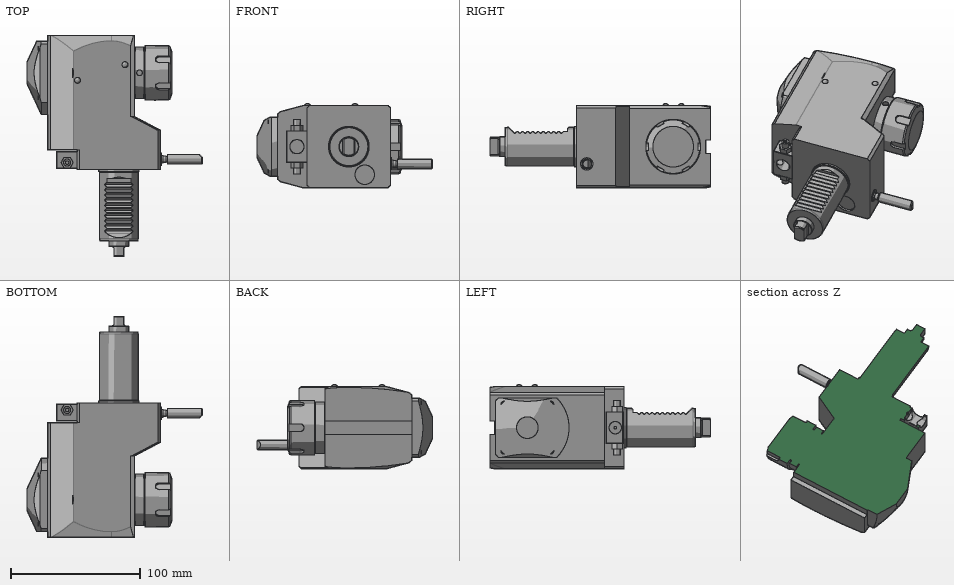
import cadquery as cq
import math


HALF_HEIGHT = 32.0
HEAD_LEFT = -55.0
HEAD_RIGHT = 12.1
HEAD_FRONT = 15.2
HEAD_BACK = 104.0
HEAD_LEFT_EDGE = (2.2, 1.9)
HEAD_RIGHT_EDGE = (3.0, 2.4)
SLOPE_START = -35.0
SLOPE_ANGLE = 15
BLOCK_HALF_WIDTH = 32.3
BLOCK_EDGE = 2.0
SHOULDER_EDGE = 1.0
SHOULDER_OUTER_Y = 30.5
SHOULDER_INNER_Y = 41
CROWN_TILT = 10.8
CROWN_X = -5.8
CROWN_Y = 99.7
CROWN_LEFT_RADIUS = 290.7
CROWN_RIGHT_RADIUS = 153.9
BACK_SLOT_WIDTH = 10.3
BACK_SLOT_DEPTH = 3.8
PLUG_X = 12.3
PLUG_Z = -21.7
PLUG_RADIUS = 7.5
PLUG_DEPTH = 1.7

SPINDLE_Y = 74.9
COVER_END = -71.1
COVER_RIM = -60.0
COVER_RADIUS = 32.3
COVER_TIP_RADIUS = 8.4
COVER_HALF_HEIGHT = 22.9
COVER_BACK_REACH = 24.6
COVER_CORNER = 2.2
FACET_OUTER_X = -61.0
FACET_INNER_X = -65
FACET_INNER_Z = 20.7
COVER_SCREW_OFFSET = 18.0
COVER_SCREW_RADIUS = 2.5
COVER_SCREW_END = -62.5
REGISTER_RADIUS = 32.0
REGISTER_END = -35.7
REGISTER_WIDTH = 20.5

NECK_RADIUS = 16.8
COLLAR_START = 12.7
COLLAR_END = 19.3
COLLAR_RADIUS = 20.0
COLLAR_HOLE_RADIUS = 2.2
COLLAR_HOLE_DEPTH = 3.5
NUT_START = 20.3
NUT_SHOULDER = 38.3
NUT_BEVEL_END = 39.5
NUT_END = 41.2
NUT_RADIUS = 21.2
NUT_BEVEL_RADIUS = 20.7
NUT_TIP_RADIUS = 15.7
NUT_SLOTS = 6
NUT_SLOT_START = 28.4
NUT_SLOT_WIDTH = 6.0
NUT_SLOT_FLOOR = 19.2

SHANK_RADIUS = 15.0
SHANK_END = -55.0
SHANK_LEAD_DEPTH = 0.3
SHANK_LEAD_START = -53.4
SHANK_FULL_START = -2.2
FLANGE_RADIUS = 15.7
FLANGE_LENGTH = 1.5
PILOT_RADIUS = 7.7
PILOT_END = -59.5
TANG_END = -67.0
TANG_THICKNESS = 7.9
TANG_EDGE = 0.7
TANG_ROOT = 1.0
PILOT_EDGE = 0.3
TOOTH_COUNT = 10
TOOTH_PITCH = 4.0
TOOTH_HALF_WIDTH = 1.7
TOOTH_CREST_Z = 11.8
TOOTH_ROOT_Z = 10.3
FIRST_ROOT_Y = -11.6
FLAT_TOP_Y = -5.8
FLAT_START_Y = -7.0
FLAT_WALL_Z = 14.0

COOLANT_LEFT = -48.2
COOLANT_FRONT = 0.9
COOLANT_BACK = 14.0
COOLANT_HALF_HEIGHT = 12.3
COOLANT_EDGE = 0.3
PORT_X = -40.2
PORT_RADIUS = 5.5
PORT_DEPTH = 12.3
SIDE_PORT_Y = 6.8
SIDE_PORT_RADIUS = 4.8
SIDE_PORT_DEPTH = 14.0
SIDE_SOCKET_RADIUS = 1.0
SIDE_SOCKET_DEPTH = 0.9
BOLT_X = -40.0
BOLT_Y = 5.5
BOLT_RADIUS = 2.7
BOLT_END_Z = 21.2
BOLT_SOCKET_RADIUS = 1.4
BOLT_SOCKET_DEPTH = 1.4
HEX_ACROSS_CORNERS = 9.4
HEX_END_Z = 16.5

HANDLE_Y = 8.0
HANDLE_Z = -13.3
HANDLE_RADIUS = 3.8
HANDLE_START = 37.6
HANDLE_END = 64.8
HANDLE_EDGE = 0.9
HANDLE_BEVEL = 2.7
HANDLE_STEPS = [(32.8, 4.8), (34.0, 3.0), (36.6, 2.5), (HANDLE_START, 2.2)]

TOP_SCREWS = [(4.8, 81.2), (-32.0, 69.0)]
TOP_SCREW_RADIUS = 2.3
TOP_SCREW_HEIGHT = 1.4

OVERLAP = 1.7
BIG = 171


def cylinder(start, direction, radius, length):
    return cq.Workplane(cq.Solid.makeCylinder(radius, length, cq.Vector(*start), cq.Vector(*direction)))


def both_sides(shape):
    """The shape together with its mirror image across Z = 0."""
    return shape.union(shape.mirror("XY"))


def make_head():
    left_dx, left_dz = HEAD_LEFT_EDGE
    right_dx, right_dz = HEAD_RIGHT_EDGE
    slope_x = HEAD_LEFT + left_dx
    slope_z = HALF_HEIGHT - (SLOPE_START - slope_x) * math.tan(math.radians(SLOPE_ANGLE))
    upper = [
        (HEAD_LEFT, slope_z - left_dz),
        (slope_x, slope_z),
        (SLOPE_START, HALF_HEIGHT),
        (HEAD_RIGHT - right_dx, HALF_HEIGHT),
        (HEAD_RIGHT, HALF_HEIGHT - right_dz),
    ]
    lower = [(x, -z) for x, z in reversed(upper)]
    head = (
        cq.Workplane("XZ", origin=(0, HEAD_FRONT, 0))
        .polyline(upper + lower)
        .close()
        .extrude(HEAD_FRONT - HEAD_BACK)
    )
    back_slot = cq.Workplane("XY").box(BIG, 2 * BACK_SLOT_DEPTH, BACK_SLOT_WIDTH)
    return head.cut(both_sides(make_crown_cutter())).cut(back_slot.translate((0, HEAD_BACK, 0)))


def make_crown_cutter():
    """Removes the upper back edge along a tilted surface that curves away on both sides of its crest."""
    reach = BIG / 2
    left_drop = CROWN_LEFT_RADIUS - math.sqrt(CROWN_LEFT_RADIUS**2 - reach**2)
    right_drop = CROWN_RIGHT_RADIUS - math.sqrt(CROWN_RIGHT_RADIUS**2 - reach**2)
    cutter = (
        cq.Workplane("XZ")
        .moveTo(-reach, -left_drop)
        .radiusArc((0, 0), CROWN_LEFT_RADIUS)
        .radiusArc((reach, -right_drop), CROWN_RIGHT_RADIUS)
        .lineTo(reach, reach)
        .lineTo(-reach, reach)
        .close()
        .extrude(reach, both=True)
    )
    tilted = cutter.rotate((0, 0, 0), (1, 0, 0), -CROWN_TILT)
    return tilted.translate((CROWN_X, CROWN_Y, HALF_HEIGHT))


def make_block():
    """The lower body behind the shank, with a sloping shoulder beside the head."""
    block = (
        cq.Workplane("XY", origin=(0, 0, -HALF_HEIGHT))
        .moveTo(-BLOCK_HALF_WIDTH, 0)
        .lineTo(BLOCK_HALF_WIDTH, 0)
        .lineTo(BLOCK_HALF_WIDTH, SHOULDER_OUTER_Y)
        .lineTo(HEAD_RIGHT, SHOULDER_INNER_Y)
        .lineTo(-BLOCK_HALF_WIDTH, SHOULDER_INNER_Y)
        .close()
        .extrude(2 * HALF_HEIGHT)
    )
    block = block.faces("<X or >X").edges("|Y").chamfer(BLOCK_EDGE)
    rise = SHOULDER_INNER_Y - SHOULDER_OUTER_Y
    run = BLOCK_HALF_WIDTH - HEAD_RIGHT
    length = math.hypot(rise, run)
    bevel = cq.Workplane("XY").box(BIG, SHOULDER_EDGE * math.sqrt(2), SHOULDER_EDGE * math.sqrt(2))
    bevel = bevel.rotate((0, 0, 0), (1, 0, 0), 45)
    bevel = bevel.rotate((0, 0, 0), (0, 0, 1), -math.degrees(math.asin(rise / length)))
    bevel = bevel.translate((HEAD_RIGHT, SHOULDER_INNER_Y, HALF_HEIGHT))
    plug_seat = cylinder((PLUG_X, 0, PLUG_Z), (0, 1, 0), PLUG_RADIUS, PLUG_DEPTH)
    return block.cut(both_sides(bevel)).cut(plug_seat)


def make_cover():
    """Conical cover, trimmed flat on three sides, with a facet along its top and bottom."""
    cover = (
        cq.Workplane("XY")
        .moveTo(COVER_END, 0)
        .lineTo(COVER_END, COVER_TIP_RADIUS)
        .lineTo(COVER_RIM, COVER_RADIUS)
        .lineTo(HEAD_LEFT + OVERLAP, COVER_RADIUS)
        .lineTo(HEAD_LEFT + OVERLAP, 0)
        .close()
        .revolve(360, (0, 0, 0), (1, 0, 0))
    )
    outline = (
        cq.Workplane("YZ", origin=(COVER_END, 0, 0))
        .center((COVER_BACK_REACH - COVER_RADIUS) / 2, 0)
        .rect(COVER_BACK_REACH + COVER_RADIUS, 2 * COVER_HALF_HEIGHT)
        .extrude(HEAD_LEFT + OVERLAP - COVER_END)
        .faces(">Y")
        .edges("|X")
        .chamfer(COVER_CORNER)
    )
    facet_slope = (COVER_HALF_HEIGHT - FACET_INNER_Z) / (FACET_OUTER_X - FACET_INNER_X)
    end_z = COVER_HALF_HEIGHT - facet_slope * (FACET_OUTER_X - COVER_END)
    facet = (
        cq.Workplane("XZ")
        .moveTo(FACET_OUTER_X, COVER_HALF_HEIGHT)
        .lineTo(COVER_END, end_z)
        .lineTo(COVER_END, COVER_HALF_HEIGHT)
        .close()
        .extrude(BIG, both=True)
    )
    cover = cover.intersect(outline).cut(both_sides(facet))
    for y in (-COVER_SCREW_OFFSET, COVER_SCREW_OFFSET):
        for z in (-COVER_SCREW_OFFSET, COVER_SCREW_OFFSET):
            length = HEAD_LEFT - COVER_SCREW_END
            cover = cover.union(cylinder((COVER_SCREW_END, y, z), (1, 0, 0), COVER_SCREW_RADIUS, length))
    return cover.translate((0, SPINDLE_Y, 0))


def make_register():
    """Rounded pad that just breaks through the sloping faces of the head."""
    seat = cylinder((REGISTER_END, 0, 0), (1, 0, 0), REGISTER_RADIUS, -REGISTER_END)
    return seat.intersect(cq.Workplane("XY").box(BIG, REGISTER_WIDTH, BIG)).translate((0, SPINDLE_Y, 0))


def make_nut():
    nut = (
        cq.Workplane("XY")
        .moveTo(HEAD_RIGHT - OVERLAP, 0)
        .lineTo(HEAD_RIGHT - OVERLAP, NECK_RADIUS)
        .lineTo(COLLAR_START, NECK_RADIUS)
        .lineTo(COLLAR_START, COLLAR_RADIUS)
        .lineTo(COLLAR_END, COLLAR_RADIUS)
        .lineTo(COLLAR_END, NECK_RADIUS)
        .lineTo(NUT_START, NECK_RADIUS)
        .lineTo(NUT_START, NUT_RADIUS)
        .lineTo(NUT_SHOULDER, NUT_RADIUS)
        .lineTo(NUT_BEVEL_END, NUT_BEVEL_RADIUS)
        .lineTo(NUT_END, NUT_TIP_RADIUS)
        .lineTo(NUT_END, 0)
        .close()
        .revolve(360, (0, 0, 0), (1, 0, 0))
    )
    slot = (
        cq.Workplane("XY", origin=(0, 0, NUT_SLOT_FLOOR))
        .moveTo(BIG, NUT_SLOT_WIDTH / 2)
        .lineTo(NUT_SLOT_START + NUT_SLOT_WIDTH / 2, NUT_SLOT_WIDTH / 2)
        .threePointArc(
            (NUT_SLOT_START, 0),
            (NUT_SLOT_START + NUT_SLOT_WIDTH / 2, -NUT_SLOT_WIDTH / 2),
        )
        .lineTo(BIG, -NUT_SLOT_WIDTH / 2)
        .close()
        .extrude(NUT_RADIUS)
    )
    step = 360 / NUT_SLOTS
    for i in range(NUT_SLOTS):
        nut = nut.cut(slot.rotate((0, 0, 0), (1, 0, 0), (i + 0.5) * step))
    hole_x = (COLLAR_START + COLLAR_END) / 2
    hole_floor = COLLAR_RADIUS - COLLAR_HOLE_DEPTH
    hole = cylinder((hole_x, 0, hole_floor), (0, 0, 1), COLLAR_HOLE_RADIUS, COLLAR_RADIUS)
    return nut.cut(hole).translate((0, SPINDLE_Y, 0))


def make_shank():
    flange = cylinder((0, OVERLAP, 0), (0, -1, 0), FLANGE_RADIUS, FLANGE_LENGTH + OVERLAP)
    lead_radius = SHANK_RADIUS - SHANK_LEAD_DEPTH
    stem = (
        cq.Workplane("XY")
        .moveTo(0, 0)
        .lineTo(lead_radius, 0)
        .lineTo(lead_radius, -FLANGE_LENGTH)
        .lineTo(SHANK_RADIUS, SHANK_FULL_START)
        .lineTo(SHANK_RADIUS, SHANK_LEAD_START)
        .lineTo(lead_radius, SHANK_END)
        .lineTo(0, SHANK_END)
        .close()
        .revolve(360, (0, 0, 0), (0, 1, 0))
    )
    pilot = cylinder((0, SHANK_END + OVERLAP, 0), (0, -1, 0), PILOT_RADIUS, SHANK_END + OVERLAP - PILOT_END)
    pilot = pilot.faces("<Y").chamfer(PILOT_EDGE)
    return stem.cut(make_tooth_cutter()).union(flange).union(pilot).union(make_tang())


def make_tang():
    """Driving tang with two flats that flare out where they meet the pilot."""
    half = TANG_THICKNESS / 2
    root_radius = PILOT_RADIUS - PILOT_EDGE
    tang = cylinder((0, PILOT_END, 0), (0, -1, 0), root_radius, PILOT_END - TANG_END)
    tang = tang.faces("<Y").chamfer(TANG_EDGE)
    outline = (
        cq.Workplane("XY")
        .moveTo(-half - TANG_ROOT, PILOT_END)
        .lineTo(-half, PILOT_END - TANG_ROOT)
        .lineTo(-half, TANG_END)
        .lineTo(half, TANG_END)
        .lineTo(half, PILOT_END - TANG_ROOT)
        .lineTo(half + TANG_ROOT, PILOT_END)
        .close()
        .extrude(BIG, both=True)
    )
    return tang.intersect(outline)


def make_tooth_cutter():
    """Flat on top of the shank with a row of V grooves; the last one runs out to the surface."""
    profile = [
        (FLAT_TOP_Y, SHANK_RADIUS),
        (FLAT_START_Y, FLAT_WALL_Z),
        (FLAT_START_Y, TOOTH_CREST_Z),
    ]
    for i in range(TOOTH_COUNT):
        root_y = FIRST_ROOT_Y - i * TOOTH_PITCH
        profile.append((root_y + TOOTH_HALF_WIDTH, TOOTH_CREST_Z))
        profile.append((root_y, TOOTH_ROOT_Z))
        profile.append((root_y - TOOTH_HALF_WIDTH, TOOTH_CREST_Z))
    runout_y = root_y - TOOTH_HALF_WIDTH - (SHANK_RADIUS - TOOTH_CREST_Z)
    profile.append((runout_y, SHANK_RADIUS))
    return cq.Workplane("YZ").polyline(profile).close().extrude(BIG, both=True)


def make_coolant_block():
    width = OVERLAP - BLOCK_HALF_WIDTH - COOLANT_LEFT
    block = (
        cq.Workplane("XY")
        .box(width, COOLANT_BACK - COOLANT_FRONT, 2 * COOLANT_HALF_HEIGHT, centered=(False, False, True))
        .translate((COOLANT_LEFT, COOLANT_FRONT, 0))
        .edges()
        .chamfer(COOLANT_EDGE)
    )
    block = block.cut(cylinder((PORT_X, COOLANT_FRONT, 0), (0, 1, 0), PORT_RADIUS, PORT_DEPTH))
    block = block.cut(cylinder((COOLANT_LEFT, SIDE_PORT_Y, 0), (1, 0, 0), SIDE_PORT_RADIUS, SIDE_PORT_DEPTH))
    socket_x = COOLANT_LEFT + SIDE_PORT_DEPTH
    block = block.cut(cylinder((socket_x, SIDE_PORT_Y, 0), (1, 0, 0), SIDE_SOCKET_RADIUS, SIDE_SOCKET_DEPTH))
    start_z = COOLANT_HALF_HEIGHT - OVERLAP
    bolt = cylinder((BOLT_X, BOLT_Y, start_z), (0, 0, 1), BOLT_RADIUS, BOLT_END_Z - start_z)
    nut = (
        cq.Workplane("XY", origin=(BOLT_X, BOLT_Y, start_z))
        .polygon(6, HEX_ACROSS_CORNERS)
        .extrude(HEX_END_Z - start_z)
    )
    socket = cylinder((BOLT_X, BOLT_Y, BOLT_END_Z), (0, 0, -1), BOLT_SOCKET_RADIUS, BOLT_SOCKET_DEPTH)
    return block.union(both_sides(bolt.union(nut).cut(socket)))


def make_handle():
    handle = cylinder((HANDLE_START, 0, 0), (1, 0, 0), HANDLE_RADIUS, HANDLE_END - HANDLE_START)
    handle = handle.faces(">X").chamfer(HANDLE_EDGE)
    bevel = (
        cq.Workplane("XY")
        .moveTo(HANDLE_END - HANDLE_BEVEL, HANDLE_RADIUS)
        .lineTo(HANDLE_END, HANDLE_RADIUS - HANDLE_BEVEL)
        .lineTo(HANDLE_END, HANDLE_RADIUS)
        .close()
        .extrude(HANDLE_RADIUS, both=True)
    )
    handle = handle.cut(bevel)
    start = BLOCK_HALF_WIDTH - OVERLAP
    for end, radius in HANDLE_STEPS:
        handle = handle.union(cylinder((start, 0, 0), (1, 0, 0), radius, end - start))
    return handle.translate((0, HANDLE_Y, HANDLE_Z))


def make_top_screws():
    """Shallow domes standing on the top face."""
    dome_radius = (TOP_SCREW_RADIUS**2 + TOP_SCREW_HEIGHT**2) / (2 * TOP_SCREW_HEIGHT)
    center_z = HALF_HEIGHT + TOP_SCREW_HEIGHT - dome_radius
    return cq.Workplane("XY", origin=(0, 0, center_z)).pushPoints(TOP_SCREWS).sphere(dome_radius)


result = (
    make_head()
    .union(make_block())
    .union(make_register())
    .union(make_cover())
    .union(make_nut())
    .union(make_shank())
    .union(make_coolant_block())
    .union(make_handle())
    .union(make_top_screws())
)